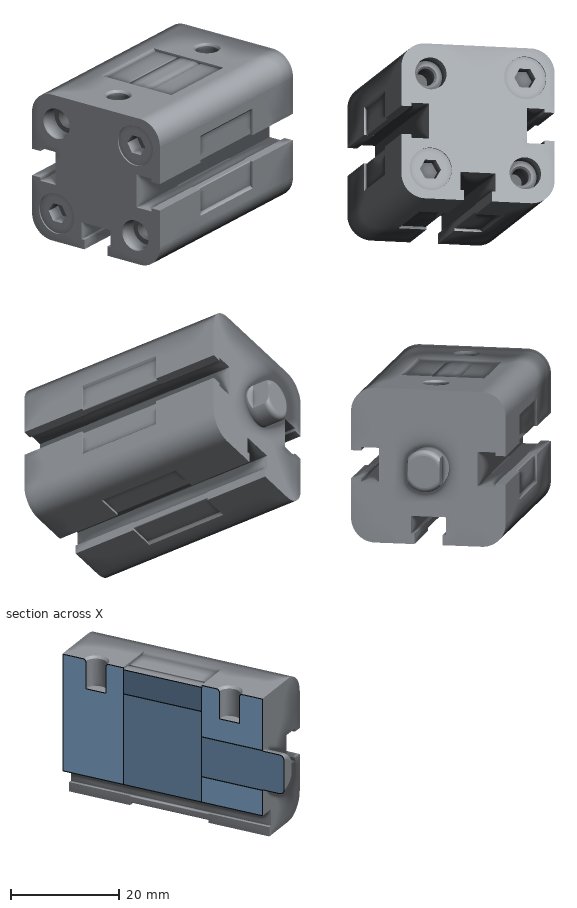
import cadquery as cq
import math


housing_width = 29.2
half_width = housing_width / 2
corner_radius = 4.5

housing_length = 42.0
cap_length = 12.8
barrel_length = housing_length - 2 * cap_length
rod_projection = 4.5

slot_mouth_width = 5.3
slot_width = 6.6
slot_lip = 1.9
slot_depth = 5.3
slot_edge_round = 0.2

panel_depth = 0.5
panel_floor_width = 15.0
panel_mouth_width = panel_floor_width + 2 * panel_depth

cover_flat_width = 2.0
cover_crown_radius = 4.0
cover_top_drop = 0.4

port_diameter = 4.13
port_mouth_diameter = 5.0
port_depth = 6.0
port_from_end = 7.0

corner_pitch = 18.0
corner_offset = corner_pitch / 2
screw_recess_diameter = 8.0
screw_recess_depth = 0.3
socket_across_flats = 3.5
socket_depth = 3.0
mount_bore_diameter = 6.0
mount_bore_depth = 3.5
mount_thread_diameter = 3.24
mount_thread_mouth_diameter = 4.0
mount_thread_depth = 6.0

rod_diameter = 8.0
rod_across_flats = 6.0
rod_flat_length = 3.5
rod_end_round = 1.0
flat_shoulder_angle = 30.0


def section_plane(y):
    """Plane across the cylinder axis at y, with X to the right, Z up and its normal along -Y."""
    return cq.Workplane("XZ", origin=(0, y, 0))


def housing_block(y_start, length):
    block = section_plane(y_start).rect(housing_width, housing_width).extrude(-length)
    return block.edges("|Y").fillet(corner_radius)


side_angles = (-90, 0, 90, 180)
open_slot_angles = (-90, 90, 180)


def turn_to_side(shape, side_angle):
    """Turn a shape made for the top side about the cylinder axis."""
    return shape.rotate((0, 0, 0), (0, 1, 0), side_angle)


def t_slot(y_start, length):
    """T-slot volume of the top side."""
    floor_z = half_width - slot_depth
    lip_z = half_width - slot_lip
    mouth = (
        section_plane(y_start)
        .center(0, (floor_z + half_width) / 2)
        .rect(slot_mouth_width, slot_depth)
        .extrude(-length)
    )
    undercut = (
        section_plane(y_start)
        .center(0, (floor_z + lip_z) / 2)
        .rect(slot_width, lip_z - floor_z)
        .extrude(-length)
    )
    return mouth.union(undercut)


def countersunk_bore(plane, mouth_diameter, bore_diameter, depth):
    """Bore along the reversed normal of the plane, with a 45 degree countersink at its mouth."""
    countersink_depth = (mouth_diameter - bore_diameter) / 2
    bore = plane.circle(bore_diameter / 2).extrude(-depth)
    countersink = (
        plane.circle(mouth_diameter / 2)
        .workplane(offset=-countersink_depth)
        .circle(bore_diameter / 2)
        .loft(combine=True)
    )
    return bore.union(countersink)


def end_cap(y_start, port_y):
    cap = housing_block(y_start, cap_length)
    for angle in open_slot_angles:
        cap = cap.cut(turn_to_side(t_slot(y_start, cap_length), angle))
    port_plane = cq.Workplane("XY", origin=(0, port_y, half_width))
    return cap.cut(countersunk_bore(port_plane, port_mouth_diameter, port_diameter, port_depth))


def screw_recess(x, z):
    recess = section_plane(0).center(x, z).circle(screw_recess_diameter / 2).extrude(-screw_recess_depth)
    across_corners = socket_across_flats / math.cos(math.pi / 6)
    socket = (
        section_plane(0)
        .center(x, z)
        .polygon(6, across_corners)
        .extrude(-screw_recess_depth - socket_depth)
    )
    return recess.union(socket)


def mounting_hole(x, z):
    bore = section_plane(0).center(x, z).circle(mount_bore_diameter / 2).extrude(-mount_bore_depth)
    thread_plane = cq.Workplane("XZ", origin=(x, mount_bore_depth, z))
    thread = countersunk_bore(
        thread_plane, mount_thread_mouth_diameter, mount_thread_diameter, mount_thread_depth
    )
    return bore.union(thread)


def make_rear_cap():
    cap = end_cap(0, port_from_end)
    for side in (-1, 1):
        cap = cap.cut(screw_recess(side * corner_offset, side * corner_offset))
        cap = cap.cut(mounting_hole(side * corner_offset, -side * corner_offset))
    return cap


def make_front_cap():
    cap = end_cap(housing_length - cap_length, housing_length - port_from_end)
    rod_hole = section_plane(housing_length).circle(rod_diameter / 2).extrude(cap_length)
    return cap.cut(rod_hole)


def side_panel():
    """Shallow recess of the top side, with 45 degree walls."""
    floor_z = half_width - panel_depth
    return (
        section_plane(cap_length)
        .moveTo(-panel_mouth_width / 2, half_width)
        .lineTo(-panel_floor_width / 2, floor_z)
        .lineTo(panel_floor_width / 2, floor_z)
        .lineTo(panel_mouth_width / 2, half_width)
        .close()
        .extrude(-barrel_length)
    )


def lip_rounding(face_z, inward):
    """Volume that rounds both slot mouth edges at a lip face; inward is the Z direction into the lip."""
    inner_x = slot_mouth_width / 2
    outer_x = inner_x + slot_edge_round
    reach = slot_edge_round * (1 - math.sqrt(0.5))
    middle_x = inner_x + reach
    middle_z = face_z + inward * reach
    inner_z = face_z + inward * slot_edge_round
    return (
        section_plane(cap_length)
        .moveTo(-outer_x, face_z)
        .threePointArc((-middle_x, middle_z), (-inner_x, inner_z))
        .lineTo(inner_x, inner_z)
        .threePointArc((middle_x, middle_z), (outer_x, face_z))
        .close()
        .extrude(-barrel_length)
    )


def barrel_slot():
    """T-slot of the top side of the barrel, with rounded floor corners and rounded lips."""
    slot = t_slot(cap_length, barrel_length)
    slot = slot.edges("|Y").edges("<Z").fillet(slot_edge_round)
    outer_rounding = lip_rounding(half_width - panel_depth, -1)
    inner_rounding = lip_rounding(half_width - slot_lip, 1)
    return slot.union(outer_rounding).union(inner_rounding)


def make_barrel():
    barrel = housing_block(cap_length, barrel_length)
    for angle in side_angles:
        barrel = barrel.cut(turn_to_side(side_panel(), angle))
        barrel = barrel.cut(turn_to_side(barrel_slot(), angle))
    return barrel


def make_slot_cover():
    """Strip that fills the upper T-slot; its top is flat in the middle and rounded off to both sides."""
    flat_z = half_width - cover_top_drop
    flat_x = cover_flat_width / 2
    edge_x = slot_mouth_width / 2
    edge_angle = math.asin((edge_x - flat_x) / cover_crown_radius)

    def crown_point(angle):
        return (
            flat_x + cover_crown_radius * math.sin(angle),
            flat_z - cover_crown_radius * (1 - math.cos(angle)),
        )

    middle = crown_point(edge_angle / 2)
    edge = crown_point(edge_angle)
    floor_z = half_width - slot_depth
    crown = (
        section_plane(cap_length)
        .moveTo(-edge_x, floor_z)
        .lineTo(-edge[0], edge[1])
        .threePointArc((-middle[0], middle[1]), (-flat_x, flat_z))
        .lineTo(flat_x, flat_z)
        .threePointArc(middle, edge)
        .lineTo(edge_x, floor_z)
        .close()
        .extrude(-barrel_length)
    )
    foot_height = slot_depth - slot_lip
    foot = (
        section_plane(cap_length)
        .center(0, floor_z + foot_height / 2)
        .rect(slot_width, foot_height)
        .extrude(-barrel_length)
    )
    return crown.union(foot).intersect(barrel_slot())


def make_rod():
    rod_start = housing_length - cap_length
    rod_end = housing_length + rod_projection
    rod = section_plane(rod_start).circle(rod_diameter / 2).extrude(rod_start - rod_end)
    rod = rod.faces(">Y").edges().fillet(rod_end_round)

    flat_x = rod_across_flats / 2
    flat_start = rod_end - rod_flat_length
    rod_radius = rod_diameter / 2
    shoulder_rise = (rod_radius - flat_x) * math.tan(math.radians(flat_shoulder_angle))
    flat = (
        cq.Workplane("XY", origin=(0, 0, -rod_radius))
        .moveTo(flat_x, flat_start)
        .lineTo(flat_x, rod_end)
        .lineTo(rod_radius, rod_end)
        .lineTo(rod_radius, flat_start - shoulder_rise)
        .close()
        .extrude(rod_diameter)
    )
    return rod.cut(flat).cut(flat.mirror("YZ"))


rear_cap = make_rear_cap()
barrel = make_barrel()
slot_cover = make_slot_cover()
front_cap = make_front_cap()
rod = make_rod()

result = cq.Compound.makeCompound(
    [rear_cap.val(), barrel.val(), slot_cover.val(), front_cap.val(), rod.val()]
)